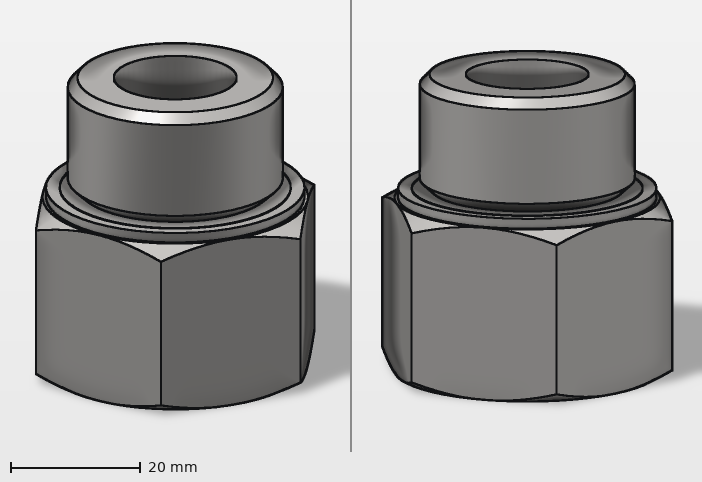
import cadquery as cq
import math

hex_across_corners = 47.35
hex_across_flats = hex_across_corners * math.cos(math.radians(30))
hex_height = 27.35
chamfer_angle = 30.0

collar_diameter = 39.9
collar_height = 1.55
face_groove_diameter = 35.7
face_groove_depth = 0.1

total_height = 47.0
spigot_diameter = 33.25
undercut_diameter = 29.7
undercut_height = 1.55
tip_diameter = 30.2
tip_chamfer_height = 1.55

bore_diameter = 19.0


def revolve_profile(points):
    """Revolve (radius, height) points about the Z axis."""
    return cq.Workplane("XZ").polyline(points).close().revolve(360, (0, 0, 0), (0, 1, 0))


def chamfered_hexagon():
    prism = (
        cq.Workplane("XY")
        .polygon(6, hex_across_corners)
        .extrude(hex_height)
        .rotate((0, 0, 0), (0, 0, 1), 90)
    )
    flat_radius = hex_across_flats / 2
    outer_radius = hex_across_corners / 2
    corner_drop = (outer_radius - flat_radius) * math.tan(math.radians(chamfer_angle))
    envelope = revolve_profile([
        (0, 0),
        (flat_radius, 0),
        (outer_radius, corner_drop),
        (outer_radius, hex_height - corner_drop),
        (flat_radius, hex_height),
        (0, hex_height),
    ])
    return prism.intersect(envelope)


def collar_and_spigot():
    collar_top = hex_height + collar_height
    groove_floor = collar_top - face_groove_depth
    return revolve_profile([
        (0, hex_height),
        (collar_diameter / 2, hex_height),
        (collar_diameter / 2, collar_top),
        (face_groove_diameter / 2, collar_top),
        (face_groove_diameter / 2, groove_floor),
        (undercut_diameter / 2, groove_floor),
        (spigot_diameter / 2, collar_top + undercut_height),
        (spigot_diameter / 2, total_height - tip_chamfer_height),
        (tip_diameter / 2, total_height),
        (0, total_height),
    ])


bore = cq.Workplane("XY").circle(bore_diameter / 2).extrude(total_height)

result = chamfered_hexagon().union(collar_and_spigot()).cut(bore)